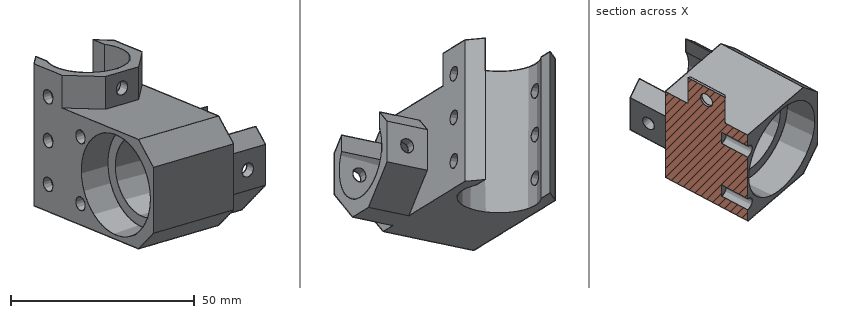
import cadquery as cq
import math

total_length = 54.5
total_height = 41.25
total_depth = 41.25

clamp_width = 28.55
block_height = 31.8
block_corner = 6.3
half_width = clamp_width / 2
octagon_corner = clamp_width * (1 - math.tan(math.pi / 8)) / 2
rear_depth = total_depth - clamp_width

bore_diameter = 22.9
mouth_width = 20.4
mouth_reach = 10.05
tip_corner = (clamp_width - mouth_width) / 2

cross_bore_x = 38.65
cross_bore_z = block_height / 2
counterbore_diameter = 29.1
counterbore_depth = 9.5

screw_diameter = 4.05
screw_count = 3
screw_pitch = 12.7
rear_screw_y = clamp_width + rear_depth / 2
top_screw_z = (block_height + total_height) / 2
blind_diameter = 3.9
blind_depth = 9.0
blind_offset_x = 14.95
blind_offset_z = 9.7


def clamp_profile(workplane, back_reach):
    """Clamp outline about its bore axis, with the open tips toward local -X."""
    back_corner = octagon_corner + back_reach - half_width
    return (
        workplane
        .moveTo(-mouth_reach, -mouth_width / 2)
        .lineTo(-mouth_reach + tip_corner, -half_width)
        .lineTo(back_reach - back_corner, -half_width)
        .lineTo(back_reach, -half_width + back_corner)
        .lineTo(back_reach, half_width - back_corner)
        .lineTo(back_reach - back_corner, half_width)
        .lineTo(-mouth_reach + tip_corner, half_width)
        .lineTo(-mouth_reach, mouth_width / 2)
        .close()
    )


def clamp_void(plane, length):
    """Round bore joined to its straight-sided mouth."""
    bore = cq.Workplane(plane).circle(bore_diameter / 2).extrude(length)
    mouth = (
        cq.Workplane(plane)
        .center(-mouth_reach / 2, 0)
        .rect(mouth_reach, mouth_width)
        .extrude(length)
    )
    return bore.union(mouth)


def cylinder(diameter, length, start, direction):
    return cq.Workplane(
        cq.Solid.makeCylinder(diameter / 2, length, cq.Vector(*start), cq.Vector(*direction))
    )


upright_plane = cq.Plane(origin=(mouth_reach, half_width, 0))
rear_plane = cq.Plane(
    origin=(cross_bore_x, clamp_width, cross_bore_z), xDir=(0, 0, -1), normal=(0, 1, 0)
)
upright_clamp = clamp_profile(cq.Workplane(upright_plane), half_width).extrude(total_height)
rear_clamp = clamp_profile(cq.Workplane(rear_plane), cross_bore_z).extrude(rear_depth)

block = (
    cq.Workplane("XY")
    .box(total_length - mouth_reach, clamp_width, block_height, centered=False)
    .translate((mouth_reach, 0, 0))
    .edges("|Y and >X")
    .chamfer(block_corner)
)

result = upright_clamp.union(block).union(rear_clamp)
result = result.cut(clamp_void(upright_plane, total_height))
result = result.cut(clamp_void(rear_plane, rear_depth))

cross_bore_start = (cross_bore_x, 0, cross_bore_z)
result = result.cut(cylinder(bore_diameter, clamp_width, cross_bore_start, (0, 1, 0)))
result = result.cut(cylinder(counterbore_diameter, counterbore_depth, cross_bore_start, (0, 1, 0)))

for index in range(screw_count):
    screw_z = total_height / 2 + (index - (screw_count - 1) / 2) * screw_pitch
    result = result.cut(cylinder(screw_diameter, clamp_width, (mouth_reach, 0, screw_z), (0, 1, 0)))

result = result.cut(
    cylinder(screw_diameter, half_width, (mouth_reach, half_width, top_screw_z), (1, 0, 0))
)

result = result.cut(
    cylinder(screw_diameter, total_length, (0, rear_screw_y, cross_bore_z), (1, 0, 0))
)

for side in (-1, 1):
    blind_start = (cross_bore_x - blind_offset_x, 0, cross_bore_z + side * blind_offset_z)
    result = result.cut(cylinder(blind_diameter, blind_depth, blind_start, (0, 1, 0)))